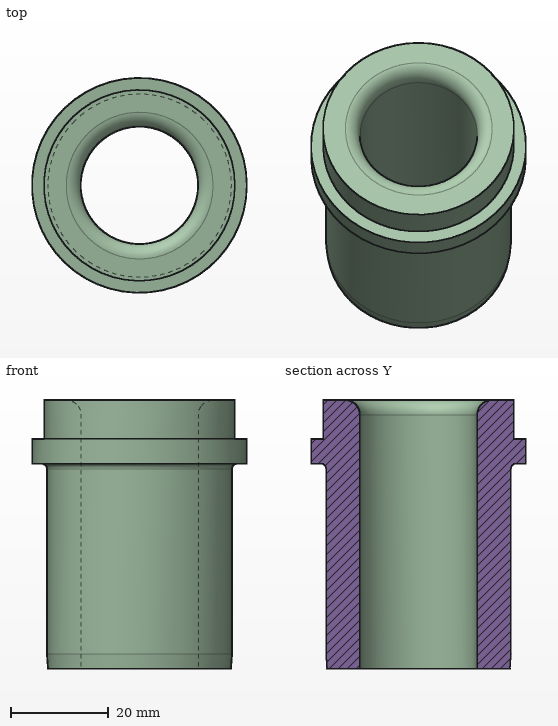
import cadquery as cq

total_height = 55.0
flange_radius = 22.0
flange_thickness = 5.1
collar_radius = 19.5
collar_height = 8.0
body_radius = 19.0
bore_radius = 12.0
bore_lip_radius = 3.0
flange_root_fillet = 1.0
lead_in_height = 3.0
lead_in_depth = 0.2

lead_in_radius = body_radius - lead_in_depth
flange_top = total_height - collar_height
flange_bottom = flange_top - flange_thickness

half_section = (
    cq.Workplane("XZ")
    .moveTo(bore_radius, 0)
    .lineTo(lead_in_radius, 0)
    .lineTo(body_radius, lead_in_height)
    .lineTo(body_radius, flange_bottom - flange_root_fillet)
    .radiusArc((body_radius + flange_root_fillet, flange_bottom), flange_root_fillet)
    .lineTo(flange_radius, flange_bottom)
    .lineTo(flange_radius, flange_top)
    .lineTo(collar_radius, flange_top)
    .lineTo(collar_radius, total_height)
    .lineTo(bore_radius + bore_lip_radius, total_height)
    .radiusArc((bore_radius, total_height - bore_lip_radius), -bore_lip_radius)
    .close()
)

result = half_section.revolve(360, (0, 0, 0), (0, 1, 0))